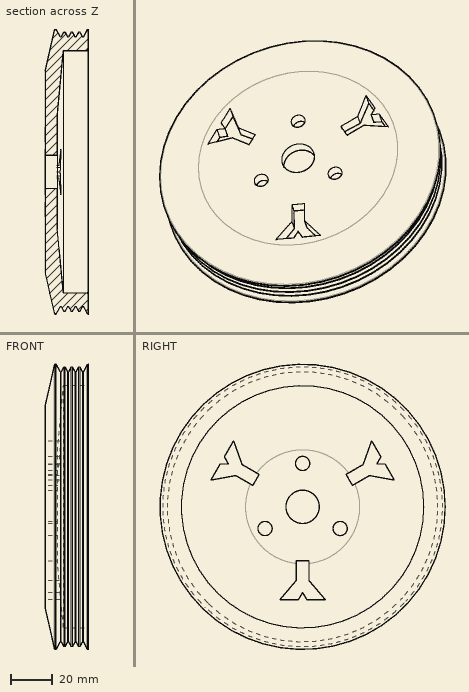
import cadquery as cq

outer_diameter = 138.0
width = 21.0
front_face_diameter = 98.0
recess_diameter = 117.2
hub_thickness = 6.0
hub_diameter = 55.2
web_rim_thickness = 8.8

front_flange_start = 4.4
flange_edge_drop = 0.5
flange_edge_width = 0.3
front_flange_width = 1.0
rear_flange_width = 0.5
rear_flange_diameter = 137.9
groove_count = 4
groove_pitch = 3.6
first_groove_center = 7.6
groove_floor_width = 0.4
groove_floor_diameter = 130.7
rib_tip_diameter = 135.4
rib_tip_width = 0.7

bore_diameter = 16.0
bolt_hole_diameter = 6.8
bolt_circle_radius = 21.0
opening_count = 3

stem_half_width = 3.0
stem_inner_radius = 26.1
branch_start_radius = 35.6
window_outer_radius = 44.8
window_outer_half_width = 10.9
notch_half_width = 2.1
notch_tip_radius = 41.4


def make_body():
    """Revolve the conical front, the ribbed rim and the recessed back as one section."""
    outer_radius = outer_diameter / 2
    recess_radius = recess_diameter / 2
    section = [
        (0, 0),
        (0, front_face_diameter / 2),
        (front_flange_start, outer_radius - flange_edge_drop),
        (front_flange_start + flange_edge_width, outer_radius),
        (front_flange_start + front_flange_width, outer_radius),
    ]
    for index in range(groove_count):
        center = first_groove_center + index * groove_pitch
        if index > 0:
            rib_center = center - groove_pitch / 2
            section.append((rib_center - rib_tip_width / 2, rib_tip_diameter / 2))
            section.append((rib_center + rib_tip_width / 2, rib_tip_diameter / 2))
        section.append((center - groove_floor_width / 2, groove_floor_diameter / 2))
        section.append((center + groove_floor_width / 2, groove_floor_diameter / 2))
    section += [
        (width - rear_flange_width - flange_edge_width, outer_radius - flange_edge_drop),
        (width - rear_flange_width, rear_flange_diameter / 2),
        (width, outer_radius),
        (width, recess_radius),
        (web_rim_thickness, recess_radius),
        (hub_thickness, hub_diameter / 2),
        (hub_thickness, 0),
    ]
    return cq.Workplane("XY").polyline(section).close().revolve(360, (0, 0, 0), (1, 0, 0))


def make_round_holes():
    """Center bore and the bolt holes, with the first bolt hole straight up."""
    holes = cq.Workplane("YZ").circle(bore_diameter / 2).extrude(width)
    bolt_hole = (
        cq.Workplane("YZ")
        .center(0, bolt_circle_radius)
        .circle(bolt_hole_diameter / 2)
        .extrude(width)
    )
    for index in range(opening_count):
        holes = holes.union(turn_about_axis(bolt_hole, index))
    return holes


def make_windows():
    """Y-shaped windows opening outward, with the first one straight down."""
    outline = [
        (-stem_half_width, -stem_inner_radius),
        (stem_half_width, -stem_inner_radius),
        (stem_half_width, -branch_start_radius),
        (window_outer_half_width, -window_outer_radius),
        (notch_half_width, -window_outer_radius),
        (0, -notch_tip_radius),
        (-notch_half_width, -window_outer_radius),
        (-window_outer_half_width, -window_outer_radius),
        (-stem_half_width, -branch_start_radius),
    ]
    window = cq.Workplane("YZ").polyline(outline).close().extrude(width)
    windows = window
    for index in range(1, opening_count):
        windows = windows.union(turn_about_axis(window, index))
    return windows


def turn_about_axis(shape, index):
    """Rotate a shape to its place among the equally spaced openings."""
    return shape.rotate((0, 0, 0), (1, 0, 0), index * 360 / opening_count)


result = make_body().cut(make_round_holes()).cut(make_windows())